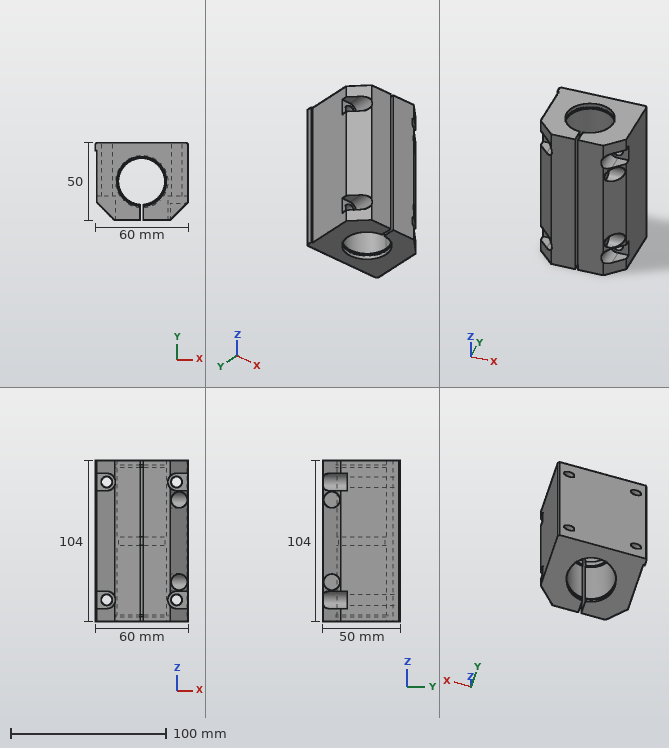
import cadquery as cq

length = 104.0
width = 60.0
depth = 50.0
right_x = width / 2
back_y = depth / 2
front_y = -depth / 2

lip_step = 1.0
lip_depth = 5.1
back_chamfer = 1.0
front_chamfer = 11.5
left_x = -width / 2 + lip_step

seat_diameter = 32.0
shoulder_diameter = 30.0
shoulder_length = 5.6
ring_groove_diameter = 33.7
ring_groove_width = 1.4
ring_groove_inset = 3.0
clamp_slit_width = 2.0

mount_spacing_x = 45.0
mount_spacing_z = 76.0
mount_hole_diameter = 7.0
mount_recess_width = 11.2
mount_recess_depth = 15.7

clamp_spacing_z = 53.0
clamp_recess_diameter = 10.4


def make_body():
    """Extrude the block outline, with its lip on the left side."""
    outline = [
        (left_x + front_chamfer, front_y),
        (right_x - front_chamfer, front_y),
        (right_x, front_y + front_chamfer),
        (right_x, back_y - back_chamfer),
        (right_x - back_chamfer, back_y),
        (-width / 2 + back_chamfer, back_y),
        (-width / 2, back_y - back_chamfer),
        (-width / 2, back_y - lip_depth),
        (left_x, back_y - lip_depth),
        (left_x, front_y + front_chamfer),
    ]
    return cq.Workplane("XY").polyline(outline).close().extrude(length / 2, both=True)


def bore_section(diameter, bottom_z, height):
    """Cylinder on the shaft axis, rising from bottom_z."""
    return cq.Workplane("XY").workplane(offset=bottom_z).circle(diameter / 2).extrude(height)


def make_bore():
    """Stepped bore, retaining ring grooves and clamp slit as one cutter."""
    bore = bore_section(shoulder_diameter, -length / 2, length)
    seat_length = (length - shoulder_length) / 2
    bore = bore.union(bore_section(seat_diameter, -length / 2, seat_length))
    bore = bore.union(bore_section(seat_diameter, shoulder_length / 2, seat_length))
    groove_far_z = length / 2 - ring_groove_inset
    for bottom_z in (-groove_far_z, groove_far_z - ring_groove_width):
        bore = bore.union(bore_section(ring_groove_diameter, bottom_z, ring_groove_width))
    slit = cq.Workplane("XY").box(clamp_slit_width, depth / 2, length).translate((0, -depth / 4, 0))
    return bore.union(slit)


def make_mount_cut(side, z):
    """Through hole with a round-ended head recess open towards the given side."""
    hole_x = side * mount_spacing_x / 2
    front_plane = cq.Workplane("XZ", origin=(hole_x, front_y, z))
    hole = front_plane.circle(mount_hole_diameter / 2).extrude(-depth)
    round_end = front_plane.circle(mount_recess_width / 2).extrude(-mount_recess_depth)
    open_length = width / 2 - abs(hole_x)
    open_end = (
        front_plane.center(side * open_length / 2, 0)
        .rect(open_length, mount_recess_width)
        .extrude(-mount_recess_depth)
    )
    return hole.union(round_end).union(open_end)


def make_clamp_recess(z):
    """Flat-bottomed recess centred on the right front chamfer."""
    floor_x = right_x - front_chamfer
    center_y = front_y + front_chamfer / 2
    floor_plane = cq.Workplane("YZ", origin=(floor_x, center_y, z))
    return floor_plane.circle(clamp_recess_diameter / 2).extrude(front_chamfer)


result = make_body().cut(make_bore())
for end in (-1, 1):
    for side in (-1, 1):
        result = result.cut(make_mount_cut(side, end * mount_spacing_z / 2))
    result = result.cut(make_clamp_recess(end * clamp_spacing_z / 2))